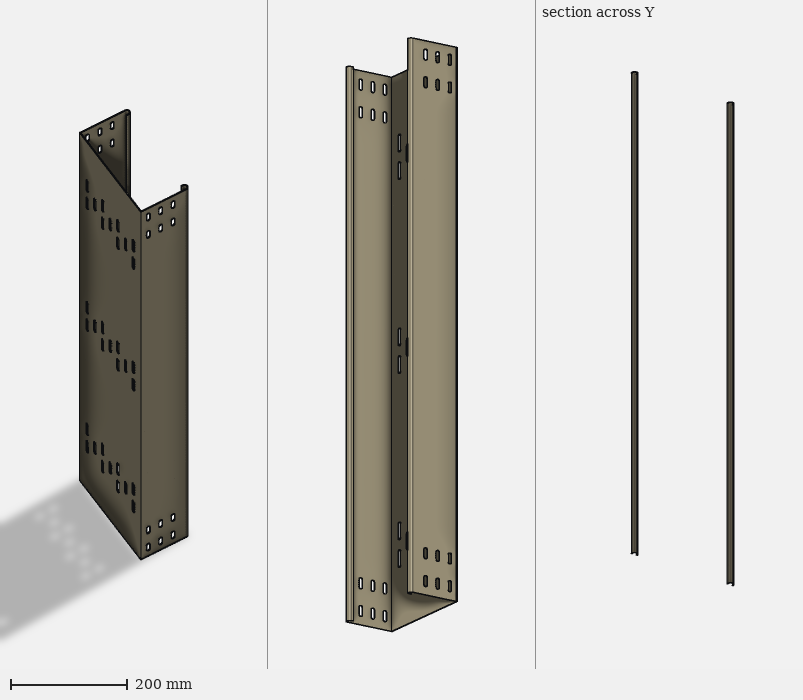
import cadquery as cq

WIDTH = 200.0
DEPTH = 98.0
LENGTH = 1000.0
SHEET = 2.0

ROLL_RADIUS = 6.0
LIP_DROP = 10.0

FLOOR_SLOT_LENGTH = 32.0
FLOOR_SLOT_WIDTH = 7.0
FLOOR_GROUP_COUNT = 3
FLOOR_GROUP_PITCH = 350.0
PAIRED_COLUMNS = 4
SINGLE_COLUMNS = 3
ROWS_PER_PAIR = 2

WALL_SLOT_LENGTH = 20.0
WALL_SLOT_WIDTH = 7.0
WALL_ROWS_PER_END = 2
WALL_COLUMNS = 3
FIRST_WALL_ROW = 25.0
FIRST_WALL_COLUMN = 15.5

ROW_PITCH = 50.0
COLUMN_PITCH = 25.0
PAIRED_COLUMN_PITCH = 2 * COLUMN_PITCH

HALF_WIDTH = WIDTH / 2
HALF_LENGTH = LENGTH / 2
FLOOR_Y = -DEPTH / 2
OPEN_Y = DEPTH / 2
UPRIGHT = 90.0


def centered_positions(count, pitch):
    """Evenly spaced positions, centered on zero."""
    return [(i - (count - 1) / 2) * pitch for i in range(count)]


def make_floor():
    """Flat sheet closing the -Y side of the channel."""
    return cq.Workplane("XY").box(WIDTH, SHEET, LENGTH).translate((0, FLOOR_Y + SHEET / 2, 0))


def make_wall():
    """The +X wall with its rolled edge, as one constant cross-section."""
    roll_x = HALF_WIDTH - ROLL_RADIUS
    roll_y = OPEN_Y - ROLL_RADIUS
    inner_radius = ROLL_RADIUS - SHEET
    lip_end_y = OPEN_Y - LIP_DROP
    return (
        cq.Workplane("XY", origin=(0, 0, -HALF_LENGTH))
        .moveTo(HALF_WIDTH, FLOOR_Y)
        .lineTo(HALF_WIDTH, roll_y)
        .threePointArc((roll_x, OPEN_Y), (roll_x - ROLL_RADIUS, roll_y))
        .lineTo(roll_x - ROLL_RADIUS, lip_end_y)
        .lineTo(roll_x - inner_radius, lip_end_y)
        .lineTo(roll_x - inner_radius, roll_y)
        .threePointArc((roll_x, roll_y + inner_radius), (roll_x + inner_radius, roll_y))
        .lineTo(roll_x + inner_radius, FLOOR_Y)
        .close()
        .extrude(LENGTH)
    )


def make_channel():
    """Floor joined to a pair of mirrored walls."""
    wall = make_wall()
    return make_floor().union(wall).union(wall.mirror("YZ"))


def make_floor_slots():
    """Cutters for the staggered slot groups in the floor."""
    centers = []
    for group_z in centered_positions(FLOOR_GROUP_COUNT, FLOOR_GROUP_PITCH):
        for x in centered_positions(PAIRED_COLUMNS, PAIRED_COLUMN_PITCH):
            for row_z in centered_positions(ROWS_PER_PAIR, ROW_PITCH):
                centers.append((x, group_z + row_z))
        for x in centered_positions(SINGLE_COLUMNS, PAIRED_COLUMN_PITCH):
            centers.append((x, group_z))
    return (
        cq.Workplane("XZ", origin=(0, FLOOR_Y, 0))
        .pushPoints(centers)
        .slot2D(FLOOR_SLOT_LENGTH, FLOOR_SLOT_WIDTH, UPRIGHT)
        .extrude(-SHEET)
    )


def make_wall_slots():
    """Cutters passing through both walls at each end of the channel."""
    centers = []
    for row in range(WALL_ROWS_PER_END):
        z = HALF_LENGTH - FIRST_WALL_ROW - row * ROW_PITCH
        for column in range(WALL_COLUMNS):
            y = FLOOR_Y + FIRST_WALL_COLUMN + column * COLUMN_PITCH
            centers += [(y, z), (y, -z)]
    return (
        cq.Workplane("YZ")
        .pushPoints(centers)
        .slot2D(WALL_SLOT_LENGTH, WALL_SLOT_WIDTH, UPRIGHT)
        .extrude(HALF_WIDTH, both=True)
    )


result = make_channel().cut(make_floor_slots()).cut(make_wall_slots())